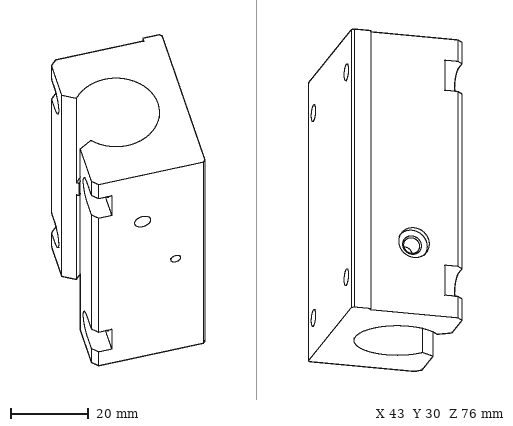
import cadquery as cq
import math

length = 76.0
half_width = 21.5
back_y = 18.0
front_y = -12.0
ledge_width = 0.9
ledge_height = 5.0
back_chamfer = 0.6
front_chamfer = 1.5

bore_radius = 11.2
rib_radius = 10.5
rib_length = 5.2
mouth_half_width = 9.05
mouth_flare = 30.0

mount_spacing_x = 32.0
mount_spacing_z = 56.0
mount_diameter = 4.3
seat_radius = 4.1
seat_depth = 5.0

side_hole_y = 1.2
side_hole_offset = 18.55
side_hole_diameter = 4.25
side_hole_chamfer = 0.4
spotface_diameter = 8.1
spotface_depth = 2.0

oil_hole_y = 10.0
oil_hole_diameter = 2.6

mid_z = length / 2
left_wall_x = -half_width + ledge_width


def cylinder_along_x(radius, start_x, end_x, y, z):
    start = cq.Vector(start_x, y, z)
    return cq.Workplane(cq.Solid.makeCylinder(radius, end_x - start_x, start, cq.Vector(1, 0, 0)))


def make_block():
    ledge_y = back_y - ledge_height
    outline = [
        (left_wall_x + front_chamfer, front_y),
        (half_width - front_chamfer, front_y),
        (half_width, front_y + front_chamfer),
        (half_width, back_y - back_chamfer),
        (half_width - back_chamfer, back_y),
        (-half_width + back_chamfer, back_y),
        (-half_width, back_y - back_chamfer),
        (-half_width, ledge_y),
        (left_wall_x, ledge_y),
        (left_wall_x, front_y + front_chamfer),
    ]
    return cq.Workplane("XY").polyline(outline).close().extrude(length)


def make_bore():
    bore = cq.Workplane("XY").circle(bore_radius).extrude(length)
    rib = (
        cq.Workplane("XY")
        .workplane(offset=mid_z - rib_length / 2)
        .circle(bore_radius)
        .circle(rib_radius)
        .extrude(rib_length)
    )
    inner_half_width = mouth_half_width + front_y * math.tan(math.radians(mouth_flare))
    mouth = (
        cq.Workplane("XY")
        .polyline([
            (-mouth_half_width, front_y),
            (mouth_half_width, front_y),
            (inner_half_width, 0),
            (-inner_half_width, 0),
        ])
        .close()
        .extrude(length)
    )
    return bore.cut(rib).union(mouth)


def make_mount(side, z):
    """Through hole along Y with a round-ended seat open to the side face (side is -1 or 1)."""
    x = side * mount_spacing_x / 2
    run_out = half_width - mount_spacing_x / 2
    front = cq.Workplane("XZ", origin=(x, front_y, z))
    hole = front.circle(mount_diameter / 2).extrude(front_y - back_y)
    seat = front.circle(seat_radius).extrude(-seat_depth)
    opening = front.center(side * run_out / 2, 0).rect(run_out, 2 * seat_radius).extrude(-seat_depth)
    return hole.union(seat).union(opening)


def make_left_hole():
    z = mid_z - side_hole_offset
    radius = side_hole_diameter / 2
    floor_x = left_wall_x + spotface_depth
    hole = cylinder_along_x(radius, left_wall_x, 0, side_hole_y, z)
    spotface = cylinder_along_x(spotface_diameter / 2, left_wall_x, floor_x, side_hole_y, z)
    chamfer = cq.Solid.makeCone(
        radius + side_hole_chamfer,
        radius,
        side_hole_chamfer,
        cq.Vector(floor_x, side_hole_y, z),
        cq.Vector(1, 0, 0),
    )
    return hole.union(spotface).union(cq.Workplane(chamfer))


def make_right_hole():
    return cylinder_along_x(side_hole_diameter / 2, 0, half_width, side_hole_y, mid_z + side_hole_offset)


def make_oil_hole():
    radius = oil_hole_diameter / 2
    hole = cylinder_along_x(radius, 0, half_width, oil_hole_y, mid_z)
    round_end = cq.Workplane("XY", origin=(0, oil_hole_y, mid_z)).sphere(radius)
    return hole.union(round_end)


result = make_block().cut(make_bore())
for side in (-1, 1):
    for z_offset in (-mount_spacing_z / 2, mount_spacing_z / 2):
        result = result.cut(make_mount(side, mid_z + z_offset))
result = result.cut(make_left_hole()).cut(make_right_hole()).cut(make_oil_hole())